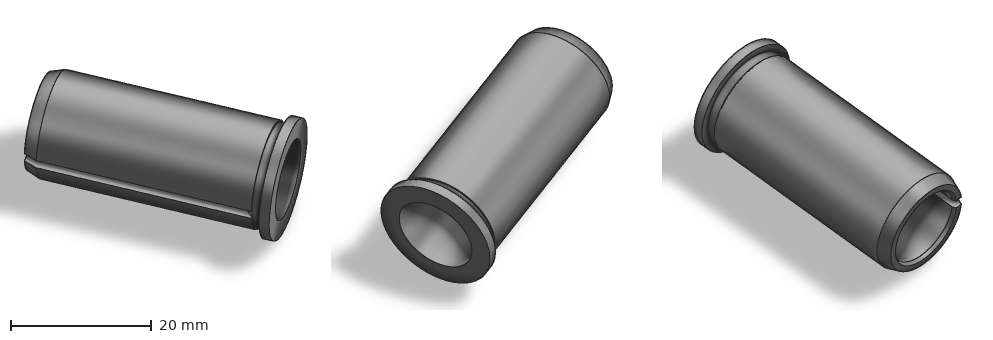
import cadquery as cq

length = 37.0
body_radius = 8.0
bore_radius = 6.0

flange_radius = 9.0
flange_width = 1.5
groove_radius = 7.77
groove_width = 1.48

nose_length = 2.0
nose_radius = 7.25
lead_in_length = 0.6
lead_in_radius = 6.3

slot_width = 1.5
ramp_length = 1.5
ramp_overrun = 0.05

start_x = -length / 2
end_x = length / 2
flange_x = end_x - flange_width
groove_x = flange_x - groove_width
ramp_end_x = groove_x + ramp_overrun


def make_sleeve():
    """Revolve the wall section about the X axis."""
    section = [
        (start_x, lead_in_radius),
        (start_x, nose_radius),
        (start_x + nose_length, body_radius),
        (groove_x, body_radius),
        (groove_x, groove_radius),
        (flange_x, groove_radius),
        (flange_x, flange_radius),
        (end_x, flange_radius),
        (end_x, bore_radius),
        (start_x + lead_in_length, bore_radius),
    ]
    return cq.Workplane("XY").polyline(section).close().revolve(360, (0, 0, 0), (1, 0, 0))


def make_slot_cutter():
    """Prism that splits the -Y wall from the nose up to the groove."""
    outline = [
        (start_x, 0),
        (ramp_end_x - ramp_length, 0),
        (ramp_end_x - ramp_length, -bore_radius),
        (ramp_end_x, -groove_radius),
        (ramp_end_x, -body_radius),
        (start_x, -body_radius),
    ]
    return cq.Workplane("XY").polyline(outline).close().extrude(slot_width / 2, both=True)


result = make_sleeve().cut(make_slot_cutter())